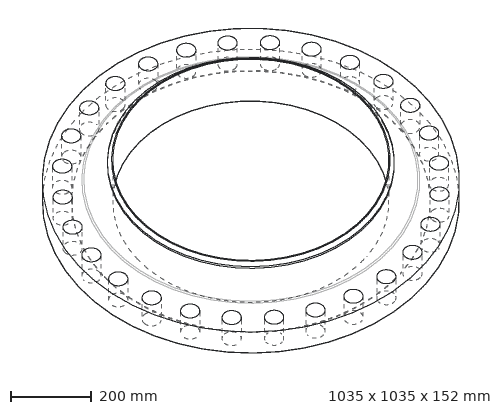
import cadquery as cq
import math

outer_diameter = 1035.0
overall_height = 152.0
raised_face_diameter = 890.0
raised_face_height = 2.0
plate_top = 79.0

bore_diameter = 685.0
weld_lip_width = 3.0
neck_diameter = 712.0
neck_bottom = 138.0
neck_top = 144.0
hub_base_diameter = 833.0
hub_fillet_radius = 7.0

bolt_circle_diameter = 941.0
bolt_hole_diameter = 48.0
bolt_hole_count = 28
bolt_pitch_angle = 360.0 / bolt_hole_count


def polar_point(diameter, angle):
    """Point on a circle about the flange axis, with the angle in degrees."""
    radius = diameter / 2
    direction = math.radians(angle)
    return (radius * math.cos(direction), radius * math.sin(direction))


def flange_body():
    """Half section in the XZ plane, turned about the flange axis."""
    bore_radius = bore_diameter / 2
    outline = [
        (bore_radius, 0),
        (raised_face_diameter / 2, 0),
        (raised_face_diameter / 2, raised_face_height),
        (outer_diameter / 2, raised_face_height),
        (outer_diameter / 2, plate_top),
        (hub_base_diameter / 2, plate_top),
        (neck_diameter / 2, neck_bottom),
        (neck_diameter / 2, neck_top),
        (bore_radius + weld_lip_width, overall_height),
        (bore_radius, overall_height),
    ]
    body = cq.Workplane("XZ").polyline(outline).close().revolve(360, (0, 0, 0), (0, 1, 0))
    hub_base_edge = body.edges("%CIRCLE").filter(
        lambda edge: math.isclose(edge.radius(), hub_base_diameter / 2)
    )
    return hub_base_edge.fillet(hub_fillet_radius)


def through_holes(points, diameter):
    """Vertical cylinders that pass through the whole height of the flange."""
    return cq.Workplane("XY").pushPoints(points).circle(diameter / 2).extrude(overall_height)


bolt_points = [
    polar_point(bolt_circle_diameter, index * bolt_pitch_angle)
    for index in range(bolt_hole_count)
]
result = flange_body().cut(through_holes(bolt_points, bolt_hole_diameter))